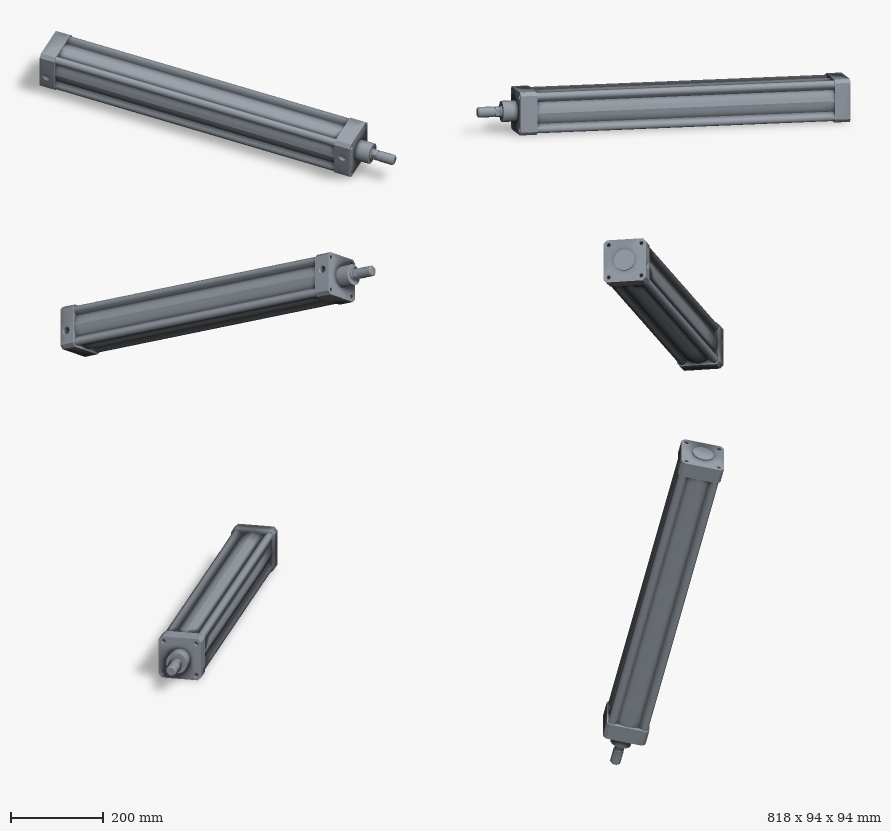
import cadquery as cq
import math

total_length = 818.0
spigot_length = 4.0
rear_cap_end = 38.5
front_cap_start = 696.0
front_cap_end = 733.0
boss_end = 765.0

cap_side = 94.0
cap_chamfer = 7.0
spigot_radius = 23.0
bolt_offset = 36.0
bolt_hole_radius = 5.3
bolt_hole_depth = 16.0
bolt_countersink = 1.2
port_depth = 16.0
port_radius = 9.0
port_countersink = 2.0
rear_port_x = 20.0
rear_port_z = -10.0
front_port_x = 716.0
front_port_z = 10.0

barrel_radius = 42.5
ridge_angle = math.radians(12.5)
lobe_radius = 8.0

rod_radius = 13.0
rod_shoulder_x = 768.0
neck_radius = 11.5
flats_width = 19.0
flats_end = 779.0
undercut_radius = 10.0
undercut_end = 783.0
thread_radius = 11.5
thread_chamfer = 2.5


def polar(radius, angle):
    """Point at a radius and angle about the cylinder axis."""
    return (radius * math.cos(angle), radius * math.sin(angle))


def cap_block(start_x, end_x):
    """Square cap with its four long edges chamfered."""
    start = cq.Workplane("YZ").workplane(offset=start_x)
    block = start.rect(cap_side, cap_side).extrude(end_x - start_x)
    return block.edges("|X").chamfer(cap_chamfer)


def axial_cylinder(radius, start_x, end_x):
    """Round bar on the cylinder axis."""
    return cq.Workplane("YZ").workplane(offset=start_x).circle(radius).extrude(end_x - start_x)


def countersunk_hole(mouth_radius, countersink, depth):
    """Solid of a blind hole along +X from the origin, tapering at 45 degrees just inside its mouth."""
    bore_radius = mouth_radius - countersink
    profile = [
        (0, 0),
        (0, mouth_radius),
        (countersink, bore_radius),
        (depth, bore_radius),
        (depth, 0),
    ]
    return cq.Workplane("XY").polyline(profile).close().revolve(360, (0, 0, 0), (1, 0, 0))


def side_port(x, z):
    """Air port entering a cap from its -Y side."""
    port = countersunk_hole(port_radius, port_countersink, port_depth)
    return port.rotate((0, 0, 0), (0, 0, 1), 90).translate((x, -cap_side / 2, z))


def cut_bolt_holes(cap, face_x, turn):
    """Cut the four bolt holes into a cap face; turn is the angle about Z from +X to the hole direction."""
    hole = countersunk_hole(bolt_hole_radius, bolt_countersink, bolt_hole_depth)
    hole = hole.rotate((0, 0, 0), (0, 0, 1), turn)
    for y in (-bolt_offset, bolt_offset):
        for z in (-bolt_offset, bolt_offset):
            cap = cap.cut(hole.translate((face_x, y, z)))
    return cap


def make_rear_cap():
    """Closed cap with a short locating spigot on its outer face."""
    cap = cap_block(spigot_length, rear_cap_end)
    cap = cap.union(axial_cylinder(spigot_radius, 0, spigot_length))
    cap = cut_bolt_holes(cap, spigot_length, 0)
    return cap.cut(side_port(rear_port_x, rear_port_z))


def make_front_cap():
    """Cap with a long guide boss and a through bore for the rod."""
    cap = cap_block(front_cap_start, front_cap_end)
    cap = cap.union(axial_cylinder(spigot_radius, front_cap_end, boss_end))
    cap = cap.cut(axial_cylinder(rod_radius, front_cap_start, boss_end))
    cap = cut_bolt_holes(cap, front_cap_end, 180)
    return cap.cut(side_port(front_port_x, front_port_z))


def make_barrel():
    """Round barrel with a low tangent ridge on each side and a round-ended lobe on each diagonal."""
    length = front_cap_start - rear_cap_end
    start = cq.Workplane("YZ").workplane(offset=rear_cap_end)
    ridge_apex = barrel_radius / math.cos(ridge_angle)
    lobe_distance = bolt_offset * math.sqrt(2)
    ridge = (
        start.moveTo(0, 0)
        .lineTo(*polar(barrel_radius, -ridge_angle))
        .lineTo(ridge_apex, 0)
        .lineTo(*polar(barrel_radius, ridge_angle))
        .close()
        .extrude(length)
    )
    lobe = (
        start.moveTo(0, -lobe_radius)
        .lineTo(lobe_distance, -lobe_radius)
        .threePointArc((lobe_distance + lobe_radius, 0), (lobe_distance, lobe_radius))
        .lineTo(0, lobe_radius)
        .close()
        .extrude(length)
    )
    barrel = start.circle(barrel_radius).extrude(length)
    for quarter in range(4):
        barrel = barrel.union(ridge.rotate((0, 0, 0), (1, 0, 0), 90 * quarter))
        barrel = barrel.union(lobe.rotate((0, 0, 0), (1, 0, 0), 90 * quarter + 45))
    return barrel


def make_rod():
    """Stepped rod: guided shank, neck with two wrench flats, undercut and chamfered thread end."""
    shank = axial_cylinder(rod_radius, front_cap_start, rod_shoulder_x)
    flats_slab = (
        cq.Workplane("YZ")
        .workplane(offset=rod_shoulder_x)
        .rect(flats_width, 2 * neck_radius)
        .extrude(flats_end - rod_shoulder_x)
    )
    neck = axial_cylinder(neck_radius, rod_shoulder_x, flats_end).intersect(flats_slab)
    undercut = axial_cylinder(undercut_radius, flats_end, undercut_end)
    thread = axial_cylinder(thread_radius, undercut_end, total_length)
    thread = thread.faces(">X").chamfer(thread_chamfer)
    return shank.union(neck).union(undercut).union(thread)


rear_cap = make_rear_cap()
barrel = make_barrel()
front_cap = make_front_cap()
rod = make_rod()
result = cq.Compound.makeCompound([rear_cap.val(), barrel.val(), front_cap.val(), rod.val()])